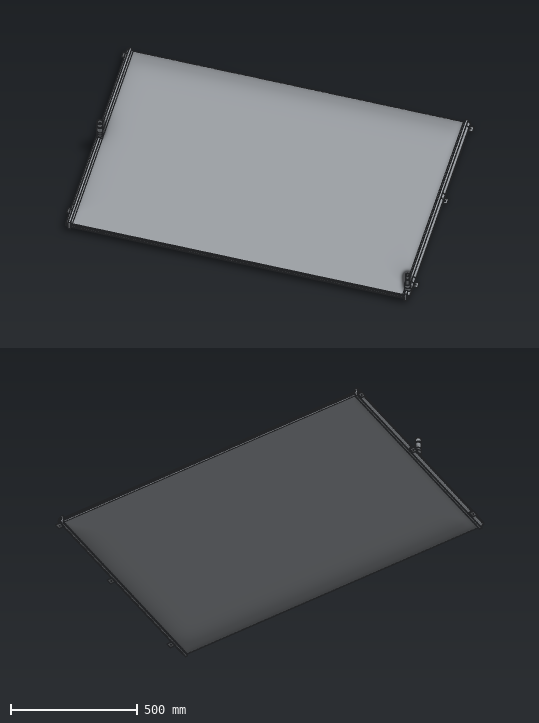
import cadquery as cq

length_y = 918.0
foot_reach = 720.0
total_height = 122.0
end_step = 5.0
recessed_length = length_y - 2 * end_step

rail_x = 689.0
rib_half_height = 20.0
rib_width = 10.0
rail_radius = 16.0
rail_z = rib_half_height

backing_bottom = 6.0
web_thickness = 10.0
web_reach = 705.0
web_bottom = rail_z - web_thickness / 2
web_top = rail_z + web_thickness / 2
sheet_top = 30.0

clip_width = 26.0
clip_places = [446.0, 66.0, -374.0]
clip_radius = 17.0
foot_bottom = 5.0
foot_thickness = 1.0
hole_radius = 1.0
hole_x = 708.0

base_top = 69.0
neck_bottom = 98.0
head_bottom = 102.0
left_connector_y = 0.0
left_steps = [(56.0, 13.0), (base_top, 12.0), (neck_bottom, 13.0), (head_bottom, 12.0), (total_height, 13.0)]
left_bore_radius = 10.0
right_connector_y = -426.0
right_steps = [(52.0, 13.0), (base_top, 12.0), (neck_bottom, 9.0), (head_bottom, 7.0), (total_height, 9.0)]
right_bore_radius = 6.0


def box(x_min, x_max, y_size, z_min, z_max):
    """Block centred on Y = 0."""
    block = cq.Workplane("XY").box(x_max - x_min, y_size, z_max - z_min)
    return block.translate(((x_min + x_max) / 2, 0, (z_min + z_max) / 2))


def rod(x, radius, y_size):
    """Round bar along Y on a rail axis, centred on Y = 0."""
    return cq.Workplane("XZ", origin=(x, 0, rail_z)).circle(radius).extrude(y_size / 2, both=True)


def make_rail(x):
    rib = box(x - rib_width / 2, x + rib_width / 2, length_y, 0, 2 * rib_half_height)
    return rod(x, rail_radius, recessed_length).union(rib)


def make_connector(x, y, steps, bore_radius):
    bottom = rail_z
    connector = cq.Workplane("XY")
    for top, radius in steps:
        connector = connector.union(
            cq.Workplane("XY", origin=(x, y, bottom)).circle(radius).extrude(top - bottom)
        )
        bottom = top
    bore_bottom = 2 * rib_half_height
    bore = cq.Workplane("XY", origin=(x, y, bore_bottom)).circle(bore_radius)
    bore = bore.extrude(total_height - bore_bottom)
    return connector.cut(bore)


def make_frame():
    web = box(-web_reach, web_reach, length_y, web_bottom, web_top)
    backing = box(-rail_x, rail_x, recessed_length, backing_bottom, web_bottom)
    frame = web.union(backing).union(make_rail(-rail_x)).union(make_rail(rail_x))
    frame = frame.union(make_connector(-rail_x, left_connector_y, left_steps, left_bore_radius))
    return frame.union(make_connector(rail_x, right_connector_y, right_steps, right_bore_radius))


def make_sheet(frame):
    """Thin plate lying on the web and fitted against both rails and their connectors."""
    return box(-rail_x, rail_x, recessed_length, web_top, sheet_top).cut(frame)


def make_clip(side, y):
    """Clip for the rail on the given side (-1 or 1)."""
    x = side * rail_x
    x_min, x_max = sorted((x, side * foot_reach))
    outer_half = box(x_min, x_max, clip_width, 0, 2 * rib_half_height)
    foot = box(x_min, x_max, clip_width, foot_bottom, foot_bottom + foot_thickness)
    hole = cq.Workplane("XY", origin=(side * hole_x, 0, 0)).circle(hole_radius).extrude(rail_z / 2)
    clip = rod(x, clip_radius, clip_width).intersect(outer_half).union(foot).cut(hole)
    return clip.translate((0, y, 0))


frame = make_frame()
sheet = make_sheet(frame)
clips = [make_clip(side, y).cut(frame) for side in (-1, 1) for y in clip_places]
result = cq.Compound.makeCompound([frame.val(), sheet.val(), *[clip.val() for clip in clips]])